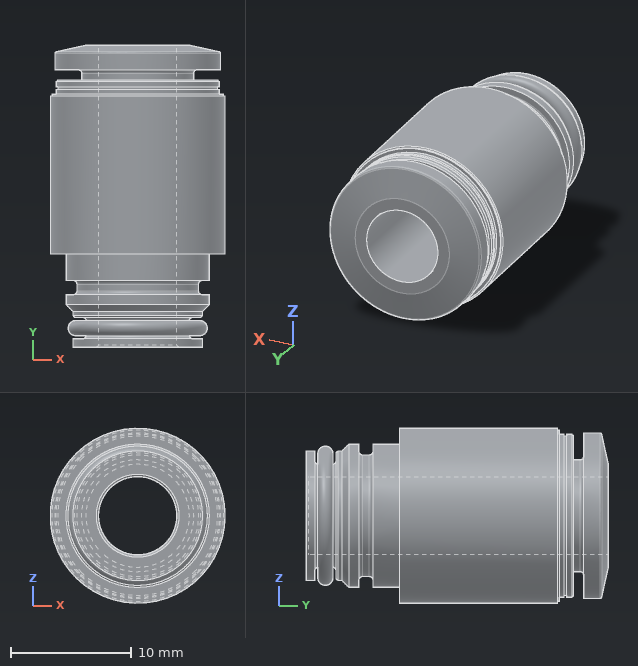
import cadquery as cq

length = 25.2

bore_diameter = 6.5
bore_chamfer = 0.2

nose_diameter = 10.8
flange_thickness = 0.73
seal_groove_diameter = 8.6
seal_groove_fillet = 0.3
ring_diameter = 11.62
ring_thickness = 1.29
land_start = 2.5
land_chamfer = 0.15

cone_start = 3.0
spigot_diameter = 11.95
cone_end = cone_start + (spigot_diameter - nose_diameter) / 2
retaining_groove_start = 4.4
retaining_groove_end = 5.57
retaining_groove_diameter = 10.15
retaining_groove_fillet = 0.3

sleeve_start = 7.79
sleeve_end = 20.97
sleeve_diameter = 14.6
step_end = 21.12
step_diameter = 14.3

collar_end = 22.3
collar_diameter = 13.6
collar_chamfer = 0.15
collar_groove_start = 21.5
collar_groove_width = 0.23
collar_groove_depth = 0.15

neck_diameter = 9.35
neck_fillet = 0.3
head_start = 23.13
head_diameter = 13.8
head_edge_height = 24.62
head_edge_round = 0.15
head_face_diameter = 8.6


def cylinder(diameter, start, end):
    """Solid cylinder along Y between two positions."""
    return cq.Workplane("XZ", origin=(0, start, 0)).circle(diameter / 2).extrude(start - end)


def cone(start_diameter, end_diameter, start, end):
    """Solid truncated cone along Y."""
    outline = [(0, start), (start_diameter / 2, start), (end_diameter / 2, end), (0, end)]
    return cq.Workplane("XY").polyline(outline).close().revolve(360, (0, 0, 0), (0, 1, 0))


def root_fillet(diameter, wall, radius, direction):
    """Concave fillet between a cylinder and a wall; direction points away from the wall."""
    root = diameter / 2
    middle = radius * (1 - 0.5 ** 0.5)
    return (
        cq.Workplane("XY")
        .moveTo(0, wall)
        .lineTo(root + radius, wall)
        .threePointArc(
            (root + middle, wall + direction * middle),
            (root, wall + direction * radius),
        )
        .lineTo(0, wall + direction * radius)
        .close()
        .revolve(360, (0, 0, 0), (0, 1, 0))
    )


def seal_ring():
    """Seal ring with a round outer edge, seated on the groove floor."""
    middle = (flange_thickness + land_start) / 2
    radius = ring_thickness / 2
    return (
        cq.Workplane("XY")
        .moveTo(0, middle - radius)
        .lineTo(ring_diameter / 2 - radius, middle - radius)
        .threePointArc(
            (ring_diameter / 2, middle),
            (ring_diameter / 2 - radius, middle + radius),
        )
        .lineTo(0, middle + radius)
        .close()
        .revolve(360, (0, 0, 0), (0, 1, 0))
    )


def nose():
    """Flange, grooved seal seat and the land behind it."""
    land = cylinder(nose_diameter, land_start, cone_start).faces("<Y").edges().chamfer(land_chamfer)
    return (
        cylinder(nose_diameter, 0, flange_thickness)
        .union(cylinder(seal_groove_diameter, flange_thickness, land_start))
        .union(root_fillet(seal_groove_diameter, flange_thickness, seal_groove_fillet, 1))
        .union(root_fillet(seal_groove_diameter, land_start, seal_groove_fillet, -1))
        .union(seal_ring())
        .union(land)
    )


def spigot():
    """Tapered spigot with a filleted retaining groove."""
    return (
        cone(nose_diameter, spigot_diameter, cone_start, cone_end)
        .union(cylinder(spigot_diameter, cone_end, retaining_groove_start))
        .union(cylinder(retaining_groove_diameter, retaining_groove_start, retaining_groove_end))
        .union(root_fillet(retaining_groove_diameter, retaining_groove_start, retaining_groove_fillet, 1))
        .union(root_fillet(retaining_groove_diameter, retaining_groove_end, retaining_groove_fillet, -1))
        .union(cylinder(spigot_diameter, retaining_groove_end, sleeve_start))
    )


def sleeve():
    """Main sleeve with a small step at its head end."""
    return cylinder(sleeve_diameter, sleeve_start, sleeve_end).union(
        cylinder(step_diameter, sleeve_end, step_end)
    )


def collar():
    """Chamfered collar with a narrow groove around it."""
    groove_end = collar_groove_start + collar_groove_width
    groove_floor = collar_diameter - 2 * collar_groove_depth
    rim = cylinder(collar_diameter, groove_end, collar_end).faces(">Y").edges().chamfer(collar_chamfer)
    return (
        cylinder(collar_diameter, step_end, collar_groove_start)
        .union(cylinder(groove_floor, collar_groove_start, groove_end))
        .union(rim)
    )


def head():
    """Head with a tapered back and a rounded edge, on a filleted neck."""
    rim = cylinder(head_diameter, head_start, head_edge_height)
    taper = cone(head_diameter, head_face_diameter, head_edge_height, length)
    selection_margin = 0.03
    edge_plane = cq.selectors.BoxSelector(
        (-head_diameter, head_edge_height - selection_margin, -head_diameter),
        (head_diameter, head_edge_height + selection_margin, head_diameter),
        boundingbox=True,
    )
    return (
        rim.union(taper)
        .edges(edge_plane)
        .fillet(head_edge_round)
        .union(cylinder(neck_diameter, collar_end, head_start))
        .union(root_fillet(neck_diameter, head_start, neck_fillet, -1))
    )


body = nose().union(spigot()).union(sleeve()).union(collar()).union(head())
bore = cylinder(bore_diameter, 0, length)
bore_lead_in = cone(bore_diameter + 2 * bore_chamfer, bore_diameter, 0, bore_chamfer)
result = body.cut(bore).cut(bore_lead_in)